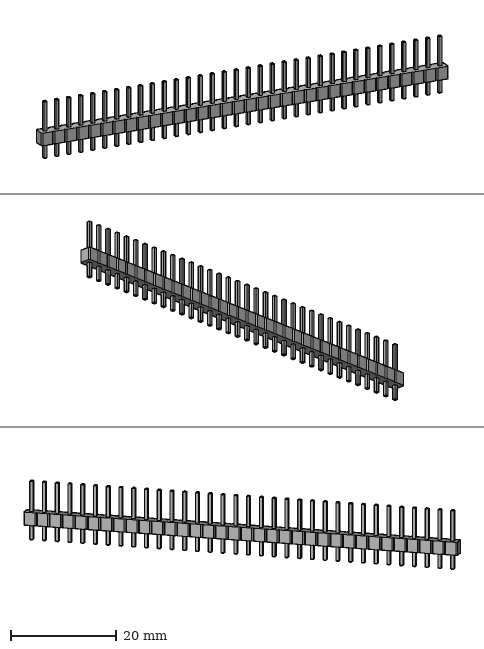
import cadquery as cq

pin_count = 34
strip_length = 86.4
pitch = strip_length / pin_count

block_side = pitch
corner_cut = 0.25

pin_side = 0.64
pin_length = 11.6
pin_below = 3.0
tip_chamfer = 0.16


def block():
    """Insulator block around one pin, standing on Z = 0."""
    cube = cq.Workplane("XY").box(block_side, block_side, block_side, centered=(True, True, False))
    return cube.edges("|Z").chamfer(corner_cut)


def pin():
    """Square pin with chamfered tips, passing down through the block."""
    bar = cq.Workplane("XY").box(pin_side, pin_side, pin_length, centered=(True, True, False))
    bar = bar.faces("<Z or >Z").chamfer(tip_chamfer)
    return bar.translate((0, 0, -pin_below))


header_position = block().union(pin())
first_y = (pitch - strip_length) / 2

header = header_position.translate((0, first_y, 0))
for index in range(1, pin_count):
    header = header.union(header_position.translate((0, first_y + index * pitch, 0)))

result = header.solids()